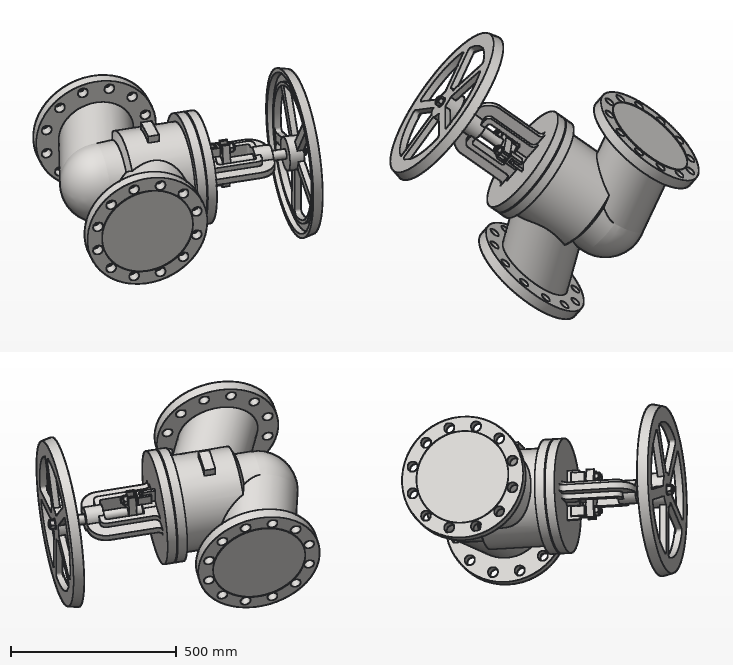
import cadquery as cq
import math


face_to_face = 600.0
raised_face_height = 2.0
raised_face_radius = 142.5
flange_thickness = 35.0
flange_radius = 188.0
bolt_circle_radius = 160.0
bolt_hole_diameter = 31.0
bolt_hole_count = 12
flange_back_x = face_to_face / 2 - raised_face_height - flange_thickness

pipe_radius = 113.0
left_pipe_slope = 15.2
right_pipe_slope = 24.2

bowl_radius = 122.0
bowl_center_y = -63.0
shoulder_bottom_y = -7.0
shoulder_top_y = 5.5
body_radius = 148.0
label_width = 81.0
label_bottom_y = 76.0
label_top_y = 110.0
label_top_z = 165.5

cover_radius = 173.0
gasket_radius = body_radius
body_flange_bottom_y = 193.0
gasket_bottom_y = 222.5
gasket_top_y = 226.0
cover_top_y = 254.0

yoke_top_y = 471.0
plate_half_width = 95.5
plate_thickness = 20.0
plate_corner_radius = 58.0
plate_flare = 13.0
frame_half_width = 59.0
frame_top_y = 433.0
frame_thickness = 53.0
frame_corner_radius = 17.0
frame_flare = 17.0
window_half_width = 43.0
window_bottom_y = 295.0
window_top_y = 416.0
window_corner_radius = 8.0
yoke_boss_radius = 35.5

stem_radius = 15.5
stuffing_box_radius = 34.0
stuffing_box_top_y = 296.0
gland_radius = 23.0

bar_bottom_y = 316.0
bar_top_y = 339.0
bar_half_length = 74.0
bar_middle_half_width = 28.5
bar_end_half_width = 16.0
bar_slot_width = 19.0
bolt_offset_z = 52.0
bolt_radius = 8.0
bolt_tip_y = 359.0
bolt_nut_top_y = 353.5
clevis_size = 30.0
clevis_bottom_y = 267.0
clevis_top_y = 309.5
clevis_slot_width = 15.5
clevis_slot_top_y = 302.0
lug_half_length = 76.0
lug_thickness = 9.0
lug_chamfer = 6.0

wheel_bottom_y = 531.0
wheel_top_y = 563.0
rim_bottom_diameter = 520.0
rim_top_radius = 252.5
rim_lip_radius = 246.5
groove_outer_radius = 241.0
groove_inner_radius = 216.0
groove_floor_y = 548.0
ring_bottom_y = 540.0
rim_inner_radius = 205.5
spoke_bottom_y = 543.0
spoke_width = 31.0
spoke_count = 5
spoke_corner_radius = 9.0
hub_radius = 52.0
hub_bottom_y = 517.5

nut_across_flats = 26.0
nut_bevel = 3.0
washer_radius = 16.0
washer_thickness = 1.5
stem_nut_top_y = 580.0
stem_tip_radius = 8.0
stem_tip_y = 582.0


def disc(radius, bottom_y, top_y):
    """Cylinder on the stem axis."""
    return cq.Workplane("XZ", origin=(0, top_y, 0)).circle(radius).extrude(top_y - bottom_y)


def block(width, bottom_y, top_y, bottom_z, top_z):
    """Box centred on X = 0."""
    return cq.Workplane("XY").box(
        width, top_y - bottom_y, top_z - bottom_z, centered=(True, False, False)
    ).translate((0, bottom_y, bottom_z))


def pipe_flange():
    """Flange on the +X side; both ends are alike."""
    flange = cq.Workplane("YZ", origin=(flange_back_x, 0, 0)).circle(flange_radius).extrude(flange_thickness)
    flange = flange.faces(">X").workplane().circle(raised_face_radius).extrude(raised_face_height)
    half_pitch = 180 / bolt_hole_count
    holes = (
        cq.Workplane("YZ", origin=(flange_back_x, 0, 0))
        .polarArray(bolt_circle_radius, half_pitch, 360, bolt_hole_count)
        .circle(bolt_hole_diameter / 2)
        .extrude(flange_thickness)
    )
    return flange.cut(holes)


def sloping_pipe(side, slope):
    """Pipe from a flange centre to the stem axis, cut off square to X inside the flange."""
    angle = math.radians(slope)
    inward = cq.Vector(-side * math.cos(angle), math.sin(angle), 0)
    start = cq.Vector(side * flange_back_x, 0, 0) - inward * pipe_radius
    length = flange_back_x / math.cos(angle) + pipe_radius
    pipe = cq.Workplane(cq.Solid.makeCylinder(pipe_radius, length, start, inward))
    between_flanges = cq.Workplane("XY").box(
        2 * flange_back_x + flange_thickness, 4 * flange_radius, 2 * flange_radius
    )
    return pipe.intersect(between_flanges)


def body():
    """Round bowl, conical shoulder, main barrel, flange, gasket and cover."""
    bowl_bottom_y = bowl_center_y - bowl_radius
    bowl_corner = bowl_radius * math.sqrt(0.5)
    barrel = (
        cq.Workplane("XY")
        .moveTo(0, bowl_bottom_y)
        .threePointArc((bowl_corner, bowl_center_y - bowl_corner), (bowl_radius, bowl_center_y))
        .lineTo(bowl_radius, shoulder_bottom_y)
        .lineTo(body_radius, shoulder_top_y)
        .lineTo(body_radius, body_flange_bottom_y)
        .lineTo(cover_radius, body_flange_bottom_y)
        .lineTo(cover_radius, gasket_bottom_y)
        .lineTo(gasket_radius, gasket_bottom_y)
        .lineTo(gasket_radius, gasket_top_y)
        .lineTo(cover_radius, gasket_top_y)
        .lineTo(cover_radius, cover_top_y)
        .lineTo(0, cover_top_y)
        .close()
        .revolve(360, (0, 0, 0), (0, 1, 0))
    )
    return barrel.union(block(label_width, label_bottom_y, label_top_y, 0, label_top_z))


def arch(half_width, top_y, corner_radius, flare, thickness):
    """Arched plate standing on the cover, its feet flaring outwards."""
    return (
        cq.Workplane("XY")
        .moveTo(-half_width - flare, cover_top_y)
        .radiusArc((-half_width, cover_top_y + flare), -flare)
        .lineTo(-half_width, top_y - corner_radius)
        .radiusArc((-half_width + corner_radius, top_y), corner_radius)
        .lineTo(half_width - corner_radius, top_y)
        .radiusArc((half_width, top_y - corner_radius), corner_radius)
        .lineTo(half_width, cover_top_y + flare)
        .radiusArc((half_width + flare, cover_top_y), -flare)
        .close()
        .extrude(thickness / 2, both=True)
    )


def yoke():
    plate = arch(plate_half_width, yoke_top_y, plate_corner_radius, plate_flare, plate_thickness)
    frame = arch(frame_half_width, frame_top_y, frame_corner_radius, frame_flare, frame_thickness)
    window = (
        block(2 * window_half_width, window_bottom_y, window_top_y, -frame_thickness, frame_thickness)
        .edges("|Z")
        .fillet(window_corner_radius)
    )
    boss = disc(yoke_boss_radius, window_top_y, yoke_top_y)
    return plate.union(frame).cut(window).union(boss)


def hex_nut(bottom_y, top_y):
    """Nut on a washer, with corners along Z and a bevelled top."""
    corner_radius = nut_across_flats / math.sqrt(3)
    hexagon = (
        cq.Workplane("XZ", origin=(0, top_y, 0))
        .transformed(rotate=(0, 0, 90))
        .polygon(6, 2 * corner_radius)
        .extrude(top_y - bottom_y)
    )
    bevel = disc(corner_radius, bottom_y, top_y).faces(">Y").chamfer(nut_bevel)
    return hexagon.intersect(bevel).union(disc(washer_radius, bottom_y, bottom_y + washer_thickness))


def swing_bolt():
    """Rod, nut and clevis of one gland bolt, on the stem axis."""
    half_size = clevis_size / 2
    clevis = block(clevis_size, clevis_bottom_y, clevis_top_y, -half_size, half_size)
    clevis = clevis.cut(block(clevis_slot_width, clevis_bottom_y, clevis_slot_top_y, -half_size, half_size))
    rod = disc(bolt_radius, clevis_slot_top_y, bolt_tip_y)
    return clevis.union(rod).union(hex_nut(bar_top_y, bolt_nut_top_y))


def gland():
    """Stuffing box with its lug, gland bar and swing bolts."""
    packing = disc(stuffing_box_radius, cover_top_y, stuffing_box_top_y)
    packing = packing.union(disc(gland_radius, stuffing_box_top_y, bar_top_y))
    lug = (
        block(lug_thickness, cover_top_y, stuffing_box_top_y, -lug_half_length, lug_half_length)
        .edges("|X and >Y")
        .chamfer(lug_chamfer)
    )
    bar = (
        cq.Workplane("XZ", origin=(0, bar_top_y, 0))
        .moveTo(bar_middle_half_width, 0)
        .lineTo(bar_end_half_width, bar_half_length)
        .lineTo(-bar_end_half_width, bar_half_length)
        .lineTo(-bar_middle_half_width, 0)
        .lineTo(-bar_end_half_width, -bar_half_length)
        .lineTo(bar_end_half_width, -bar_half_length)
        .close()
        .extrude(bar_top_y - bar_bottom_y)
    )
    assembly = packing.union(lug)
    for side in (-1, 1):
        slot_ends = sorted((side * (bolt_offset_z - bar_slot_width / 2), side * bar_half_length))
        bar = bar.cut(block(bar_slot_width, bar_bottom_y, bar_top_y, *slot_ends))
        assembly = assembly.union(swing_bolt().translate((0, 0, side * bolt_offset_z)))
    return assembly.union(bar)


def handwheel():
    rim = (
        cq.Workplane("XY")
        .polyline([
            (rim_inner_radius, wheel_top_y),
            (rim_top_radius, wheel_top_y),
            (rim_bottom_diameter / 2, wheel_bottom_y),
            (rim_lip_radius, wheel_bottom_y),
            (groove_outer_radius, groove_floor_y),
            (groove_inner_radius, groove_floor_y),
            (groove_inner_radius, ring_bottom_y),
            (rim_inner_radius, ring_bottom_y),
        ])
        .close()
        .revolve(360, (0, 0, 0), (0, 1, 0))
    )
    hub = disc(hub_radius, hub_bottom_y, wheel_top_y)
    web = disc(rim_inner_radius, spoke_bottom_y, wheel_top_y).rotate((0, 0, 0), (0, 1, 0), 90)
    windows = web.cut(hub)
    for index in range(spoke_count):
        spoke = block(spoke_width, spoke_bottom_y, wheel_top_y, -rim_inner_radius, 0)
        windows = windows.cut(spoke.rotate((0, 0, 0), (0, 1, 0), index * 360 / spoke_count))
    hub_corners = cq.selectors.BoxSelector(
        (-hub_radius, hub_bottom_y, -hub_radius), (hub_radius, wheel_top_y, hub_radius)
    )
    rim_corners = cq.selectors.ParallelDirSelector(cq.Vector(0, 1, 0)) - hub_corners
    windows = windows.edges(rim_corners).fillet(spoke_corner_radius)
    spokes = web.cut(windows)
    return rim.union(spokes).union(hub)


def stem():
    rod = disc(stem_radius, bar_bottom_y, wheel_bottom_y)
    tip = disc(stem_tip_radius, wheel_bottom_y, stem_tip_y)
    return rod.union(tip).union(hex_nut(wheel_top_y, stem_nut_top_y))


right_flange = pipe_flange()
result = (
    body()
    .union(sloping_pipe(-1, -left_pipe_slope))
    .union(sloping_pipe(1, right_pipe_slope))
    .union(right_flange)
    .union(right_flange.mirror("YZ"))
    .union(yoke())
    .union(gland())
    .union(handwheel())
    .union(stem())
)